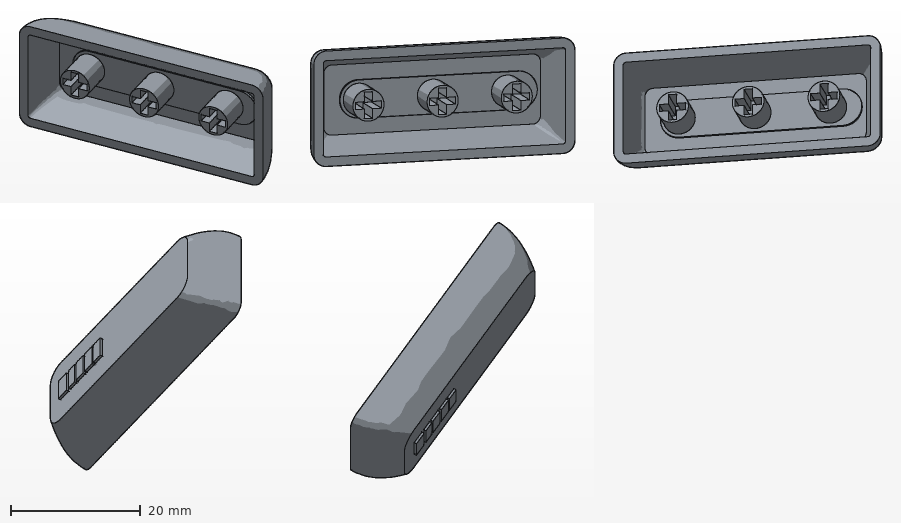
import cadquery as cq

CAP_LENGTH = 41.9
CAP_WIDTH = 18.1
TOTAL_HEIGHT = 8.65
PAD_RISE = 0.4
CAP_HEIGHT = TOTAL_HEIGHT - PAD_RISE
ROOF_INSET = 2.65
RIM_CORNER = 1.95
ROOF_CORNER = 2.75

WALL = 1.5
ROOF_THICKNESS = 1.5
CAVITY_DEPTH = CAP_HEIGHT - ROOF_THICKNESS
FLOOR_INSET = 2.05
FLOOR_CORNER = 1.25

PLATE_THICKNESS = 0.4
PLATE_FACE = CAVITY_DEPTH - PLATE_THICKNESS
PLATE_WIDTH = 6.0
PLATE_RIGHT_END = 16.75
STEM_DIAMETER = 5.0
STEM_SPACING = 11.9
STEM_TIP = 1.0
STEM_POSITIONS = [-STEM_SPACING, 0.0, STEM_SPACING]
CROSS_LENGTH = 4.15
CROSS_WIDTH_X = 1.3
CROSS_WIDTH_Z = 1.15
PAD_HEIGHT = 3.95
PAD_SPANS = [(4.45, 6.33), (6.6, 8.6), (8.95, 10.95), (11.27, 12.9), (13.4, 15.6)]


def plane_at(y):
    """Sketch plane parallel to the rim, with local x along X and local y along Z."""
    return cq.Workplane("XZ", origin=(0, y, 0))


def domed_block(length, width, height, inset, start_corner, end_corner):
    """Block whose sides leave the rim square to it and curve inwards as the square of the height."""

    def section(fraction):
        bend = fraction**2
        corner = start_corner + (end_corner - start_corner) * bend
        sketch = cq.Sketch().rect(length - 2 * inset * bend, width - 2 * inset * bend)
        sketch = sketch.vertices().fillet(corner)
        return sketch.moved(cq.Location(cq.Vector(0, 0, -height * fraction)))

    return plane_at(0).placeSketch(section(0.0), section(0.5), section(1.0)).loft()


def make_insert():
    """Oblong plate with cross-slotted stems on its rim side and legend pads on its roof side."""
    plate_left_end = -STEM_SPACING - PLATE_WIDTH / 2
    plate_length = PLATE_RIGHT_END - plate_left_end
    plate_center = (PLATE_RIGHT_END + plate_left_end) / 2
    insert = (
        plane_at(PLATE_FACE)
        .center(plate_center, 0)
        .slot2D(plate_length, PLATE_WIDTH)
        .extrude(-PLATE_THICKNESS)
    )
    for x in STEM_POSITIONS:
        insert = insert.union(make_stem(x))
    for start, end in PAD_SPANS:
        insert = insert.union(make_pad(start, end))
    return insert


def make_stem(x):
    """Round post on the plate with a cross slot along its whole length."""
    length = PLATE_FACE - STEM_TIP
    sketch = plane_at(STEM_TIP).center(x, 0)
    post = sketch.circle(STEM_DIAMETER / 2).extrude(-length)
    slot_along_z = sketch.rect(CROSS_WIDTH_X, CROSS_LENGTH).extrude(-length)
    slot_along_x = sketch.rect(CROSS_LENGTH, CROSS_WIDTH_Z).extrude(-length)
    return post.cut(slot_along_z).cut(slot_along_x)


def make_pad(start, end):
    """Plain legend pad that passes from the plate through the roof."""
    return (
        plane_at(CAVITY_DEPTH)
        .center((start + end) / 2, 0)
        .rect(end - start, PAD_HEIGHT)
        .extrude(-(TOTAL_HEIGHT - CAVITY_DEPTH))
    )


def make_cap(insert):
    """Hollow keycap with openings in the roof that fit the legend pads."""
    outside = domed_block(CAP_LENGTH, CAP_WIDTH, CAP_HEIGHT, ROOF_INSET, RIM_CORNER, ROOF_CORNER)
    cavity = domed_block(
        CAP_LENGTH - 2 * WALL,
        CAP_WIDTH - 2 * WALL,
        CAVITY_DEPTH,
        FLOOR_INSET,
        RIM_CORNER - WALL,
        FLOOR_CORNER,
    )
    return outside.cut(cavity).cut(insert)


insert = make_insert()
cap = make_cap(insert)
result = cq.Compound.makeCompound([cap.solids().val(), insert.solids().val()])